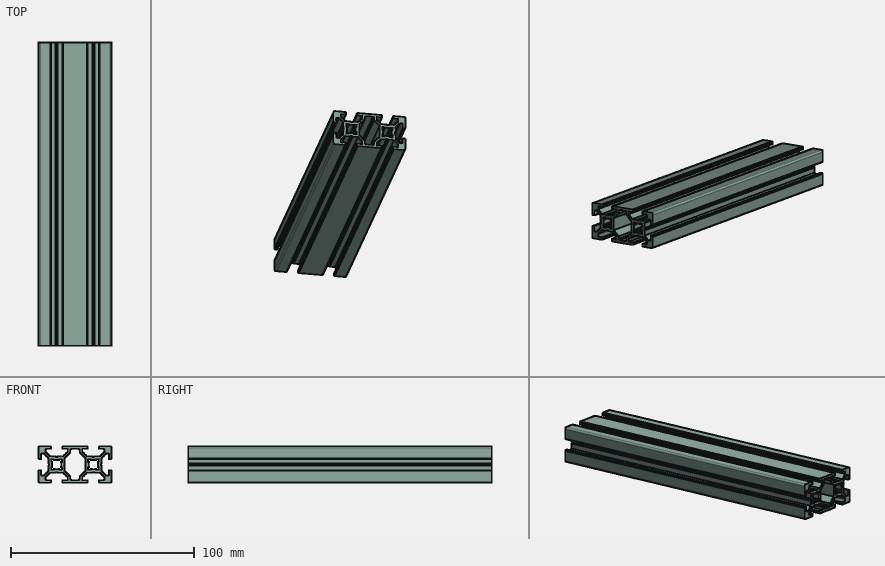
import cadquery as cq
import math

cell = 20.0
width = 2 * cell
length = 165.0
corner_radius = 1.0
half_cell = cell / 2
cell_centers = (-half_cell, half_cell)

lip_thickness = 1.5
lip_chamfer = 0.5
opening_half = 3.0
pocket_half = 6.0
slot_depth = 5.5
box_half = half_cell - slot_depth
web_offset = 1.0
pocket_radius = 0.7
groove_half = 0.7
groove_floor_half = 0.3
groove_depth = 0.3

cavity_half = 5.6
web_thickness = 1.5
cavity_chamfer = 0.7

core_corner = 2.8
core_pinch = 2.3
core_middle = 2.5
core_side_half = 1.5

cut_length = length + 3.3


def prism(outline):
    """Extrude an XZ outline along Y, centred on the origin."""
    return outline.extrude(cut_length / 2, both=True)


def slot_cutter(rounded_sides):
    """Slot opening towards +Z with a grooved floor, for a cell centred on the origin.

    rounded_sides lists the X directions whose pocket corner under the lip is rounded.
    """
    lip_bottom = half_cell - lip_thickness
    right_half = [
        (groove_floor_half, box_half - groove_depth),
        (groove_half, box_half),
        (box_half - web_offset, box_half),
        (pocket_half, pocket_half + web_offset),
        (pocket_half, lip_bottom),
        (opening_half, lip_bottom),
        (opening_half, half_cell - lip_chamfer),
        (opening_half + lip_chamfer, half_cell),
    ]
    left_half = [(-x, z) for x, z in reversed(right_half)]
    cutter = prism(cq.Workplane("XZ").polyline(right_half + left_half).close())
    for side in rounded_sides:
        corner = cq.selectors.NearestToPointSelector((side * pocket_half, 0, lip_bottom))
        cutter = cutter.edges("|Y").edges(corner).fillet(pocket_radius)
    return cutter


def cavity_cutter():
    """Cavity between the two boxes, with chamfered corners under the outer walls."""
    upright = half_cell - pocket_half - web_thickness
    top = half_cell - lip_thickness
    quarter = [
        (cavity_half, half_cell - cavity_half - web_offset),
        (upright, half_cell - upright - web_offset),
        (upright, top - cavity_chamfer),
        (upright - cavity_chamfer, top),
    ]
    upper_left = [(-x, z) for x, z in reversed(quarter)]
    upper = quarter + upper_left
    lower = [(-x, -z) for x, z in upper]
    return prism(cq.Workplane("XZ").polyline(upper + lower).close())


def core_cutter():
    """Square hole narrowed on each side by a pad with a shallow concave face."""
    cutter = prism(cq.Workplane("XZ").rect(2 * core_corner, 2 * core_corner))
    side_pad = prism(
        cq.Workplane("XZ")
        .moveTo(core_corner, -core_side_half)
        .lineTo(core_pinch, -core_side_half)
        .threePointArc((core_middle, 0), (core_pinch, core_side_half))
        .lineTo(core_corner, core_side_half)
        .close()
    )
    for angle in (0, 90, 180, 270):
        cutter = cutter.cut(side_pad.rotate((0, 0, 0), (0, 1, 0), angle))
    return cutter


result = cq.Workplane("XY").box(width, length, cell).edges("|Y").fillet(corner_radius)

for center in cell_centers:
    outward = math.copysign(1, center)
    top_slot = slot_cutter([outward])
    side_slot = slot_cutter([-1, 1]).rotate((0, 0, 0), (0, 1, 0), 90 * outward)
    for cutter in (top_slot, top_slot.mirror("XY"), side_slot, core_cutter()):
        result = result.cut(cutter.translate((center, 0, 0)))

result = result.cut(cavity_cutter())